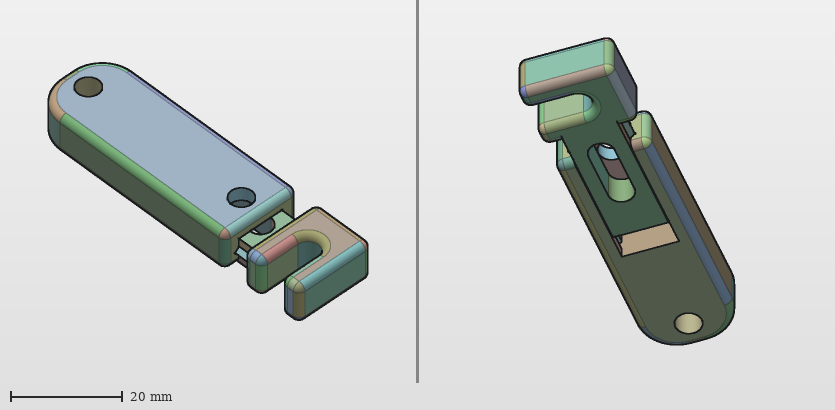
import cadquery as cq

HOUSING_LENGTH = 50.0
WIDTH = 18.0
HEIGHT = 9.1
NOSE_RADIUS = 7.5
EDGE_RADIUS = 1.5
RING_HOLE_DIAMETER = 5.05
RING_HOLE_X = 5.5
PIN_HOLE_DIAMETER = 5.0
PIN_HOLE_X = 45.0

TRAVEL = 5.0
HEAD_X = HOUSING_LENGTH + TRAVEL
HEAD_LENGTH = 14.15
FORK_GAP = 5.15

TONGUE_HALF_WIDTH = 5.3
TONGUE_HEIGHT = 5.85
RIDGE_BASE_Z = 1.95
RIDGE_DEPTH = 1.0
TONGUE_DEPTH_IN_HOUSING = 20.0
TONGUE_START_X = HOUSING_LENGTH - TONGUE_DEPTH_IN_HOUSING
TONGUE_END_X = HEAD_X + EDGE_RADIUS

CHANNEL_CLEARANCE = 0.15
CHANNEL_START_X = TONGUE_START_X - TRAVEL

SLOT_WIDTH = 5.0
SLOT_LENGTH = 2 * TRAVEL + SLOT_WIDTH


def tongue_bar(start_x, end_x, clearance=0.0):
    """Bar with the tongue section between two X positions, wider and taller by the clearance."""
    flank_y = TONGUE_HALF_WIDTH + clearance
    top_z = TONGUE_HEIGHT + clearance
    ridge_tip_y = flank_y + RIDGE_DEPTH
    ridge_tip_z = RIDGE_BASE_Z + RIDGE_DEPTH
    ridge_top_z = ridge_tip_z + RIDGE_DEPTH
    half_section = [
        (0, 0),
        (flank_y, 0),
        (flank_y, RIDGE_BASE_Z),
        (ridge_tip_y, ridge_tip_z),
        (flank_y, ridge_top_z),
        (flank_y, top_z),
        (0, top_z),
    ]
    return (
        cq.Workplane("YZ", origin=(start_x, 0, 0))
        .polyline(half_section)
        .mirrorY()
        .extrude(end_x - start_x)
    )


def through_hole(center_x, diameter):
    """Vertical cylinder of full height, centered on the X axis."""
    return cq.Workplane("XY").center(center_x, 0).circle(diameter / 2).extrude(HEIGHT)


def make_housing():
    """Rounded bar with two through holes and a channel that fits the tongue."""
    bar = (
        cq.Workplane("XY")
        .box(HOUSING_LENGTH, WIDTH, HEIGHT, centered=(False, True, False))
        .edges("|Z and <X")
        .fillet(NOSE_RADIUS)
        .edges("|Z and >X")
        .fillet(EDGE_RADIUS)
        .faces("<Z or >Z")
        .edges()
        .fillet(EDGE_RADIUS)
    )
    ring_hole = through_hole(RING_HOLE_X, RING_HOLE_DIAMETER)
    pin_hole = through_hole(PIN_HOLE_X, PIN_HOLE_DIAMETER)
    channel = tongue_bar(CHANNEL_START_X, HOUSING_LENGTH, CHANNEL_CLEARANCE)
    return bar.cut(ring_hole).cut(pin_hole).cut(channel)


def make_head():
    """Rounded block with a round-ended fork gap that opens toward -Y."""
    fork_x = HEAD_X + HEAD_LENGTH / 2
    block = cq.Workplane("XY", origin=(HEAD_X, 0, 0)).box(
        HEAD_LENGTH, WIDTH, HEIGHT, centered=(False, True, False)
    )
    gap_round = through_hole(fork_x, FORK_GAP)
    gap_mouth = (
        cq.Workplane("XY")
        .center(fork_x, -WIDTH / 4)
        .rect(FORK_GAP, WIDTH / 2)
        .extrude(HEIGHT)
    )
    fork = block.cut(gap_round.union(gap_mouth))
    return (
        fork.edges("|Z and (<Y or >Y)")
        .fillet(EDGE_RADIUS)
        .faces("<Z or >Z")
        .edges()
        .fillet(EDGE_RADIUS)
    )


def make_slider():
    """Forked head and slotted tongue as one solid."""
    slot = (
        cq.Workplane("XY")
        .center(PIN_HOLE_X, 0)
        .slot2D(SLOT_LENGTH, SLOT_WIDTH)
        .extrude(TONGUE_HEIGHT)
    )
    tongue = tongue_bar(TONGUE_START_X, TONGUE_END_X).cut(slot)
    return make_head().union(tongue)


housing = make_housing().solids()
slider = make_slider().solids()

result = cq.Compound.makeCompound([housing.val(), slider.val()])